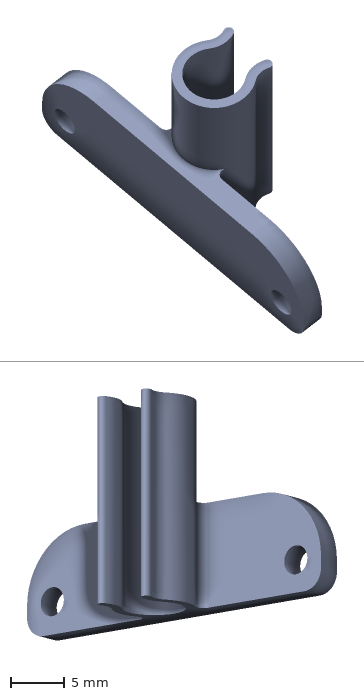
import cadquery as cq
import math

plate_length = 35.56
plate_height = 10.16
plate_thickness = 2.4
top_corner_radius = 7.0
bottom_corner_radius = 2.0

hole_diameter = 2.79
hole_spacing = 29.46
hole_height = 3.175

clip_height = 20.0
clip_inner_radius = 3.0
clip_wall = 1.0
clip_outer_radius = clip_inner_radius + clip_wall
clip_center_y = plate_thickness + clip_inner_radius

overall_depth = 10.34
lip_outer_radius = 2.0
lip_inner_radius = lip_outer_radius + clip_wall
lip_middle_radius = lip_outer_radius + clip_wall / 2
lip_start_angle = math.radians(35)
tip_radius = clip_wall / 2

blend_radius = 0.75


def make_plate():
    """Plate with large upper and small lower corner rounds."""
    blank = cq.Workplane("XY").box(
        plate_length, plate_thickness, plate_height, centered=(True, False, False)
    )
    rounded_top = blank.edges("|Y and >Z").fillet(top_corner_radius)
    return rounded_top.edges("|Y and <Z").fillet(bottom_corner_radius)


def make_screw_holes():
    """Pair of cylinders that cut the screw holes through the plate."""
    return (
        cq.Workplane("XZ")
        .pushPoints([(side * hole_spacing / 2, hole_height) for side in (-1, 1)])
        .circle(hole_diameter / 2)
        .extrude(-plate_thickness)
    )


def make_clip():
    """Open ring with two outward-curling lips."""
    center_distance = clip_outer_radius + lip_outer_radius
    lip_center_x = center_distance * math.cos(lip_start_angle)
    lip_center_y = clip_center_y + center_distance * math.sin(lip_start_angle)
    tip_center_y = overall_depth - tip_radius
    lip_end_angle = math.asin((tip_center_y - lip_center_y) / lip_middle_radius)
    lip_mid_angle = (lip_end_angle - lip_start_angle) / 2

    def ring_point(radius, side):
        x = radius * math.cos(lip_start_angle)
        y = clip_center_y + radius * math.sin(lip_start_angle)
        return (side * x, y)

    def lip_point(radius, angle, side):
        x = lip_center_x - radius * math.cos(angle)
        y = lip_center_y + radius * math.sin(angle)
        return (side * x, y)

    def tip_crown(side):
        x, y = lip_point(lip_middle_radius, lip_end_angle, side)
        crown_x = x + side * tip_radius * math.sin(lip_end_angle)
        return (crown_x, y + tip_radius * math.cos(lip_end_angle))

    def lip_end(radius, side):
        return lip_point(radius, lip_end_angle, side)

    def lip_middle(radius, side):
        return lip_point(radius, lip_mid_angle, side)

    profile = (
        cq.Workplane("XY")
        .moveTo(*ring_point(clip_outer_radius, -1))
        .threePointArc((0, clip_center_y - clip_outer_radius), ring_point(clip_outer_radius, 1))
        .threePointArc(lip_middle(lip_outer_radius, 1), lip_end(lip_outer_radius, 1))
        .threePointArc(tip_crown(1), lip_end(lip_inner_radius, 1))
        .threePointArc(lip_middle(lip_inner_radius, 1), ring_point(clip_inner_radius, 1))
        .threePointArc((0, clip_center_y - clip_inner_radius), ring_point(clip_inner_radius, -1))
        .threePointArc(lip_middle(lip_inner_radius, -1), lip_end(lip_inner_radius, -1))
        .threePointArc(tip_crown(-1), lip_end(lip_outer_radius, -1))
        .threePointArc(lip_middle(lip_outer_radius, -1), ring_point(clip_outer_radius, -1))
        .close()
    )
    return profile.extrude(clip_height)


def make_blend():
    """Saddle under the ring, with fillets tangent to the plate and to the ring."""
    fillet_center_y = plate_thickness + blend_radius
    drop = clip_center_y - fillet_center_y
    center_distance = clip_outer_radius + blend_radius
    fillet_center_x = math.sqrt(center_distance**2 - drop**2)
    ring_share = clip_outer_radius / center_distance
    contact_x = fillet_center_x * ring_share
    contact_y = clip_center_y - drop * ring_share

    contact_angle = math.atan2(drop, fillet_center_x)
    mid_angle = (contact_angle - math.pi / 2) / 2
    mid_x = fillet_center_x - blend_radius * math.cos(mid_angle)
    mid_y = fillet_center_y + blend_radius * math.sin(mid_angle)

    return (
        cq.Workplane("XY")
        .moveTo(-fillet_center_x, plate_thickness)
        .threePointArc((-mid_x, mid_y), (-contact_x, contact_y))
        .threePointArc((0, clip_center_y - clip_outer_radius), (contact_x, contact_y))
        .threePointArc((mid_x, mid_y), (fillet_center_x, plate_thickness))
        .lineTo(fillet_center_x, 0)
        .lineTo(-fillet_center_x, 0)
        .close()
        .extrude(plate_height)
    )


result = make_plate().union(make_blend()).union(make_clip()).cut(make_screw_holes())